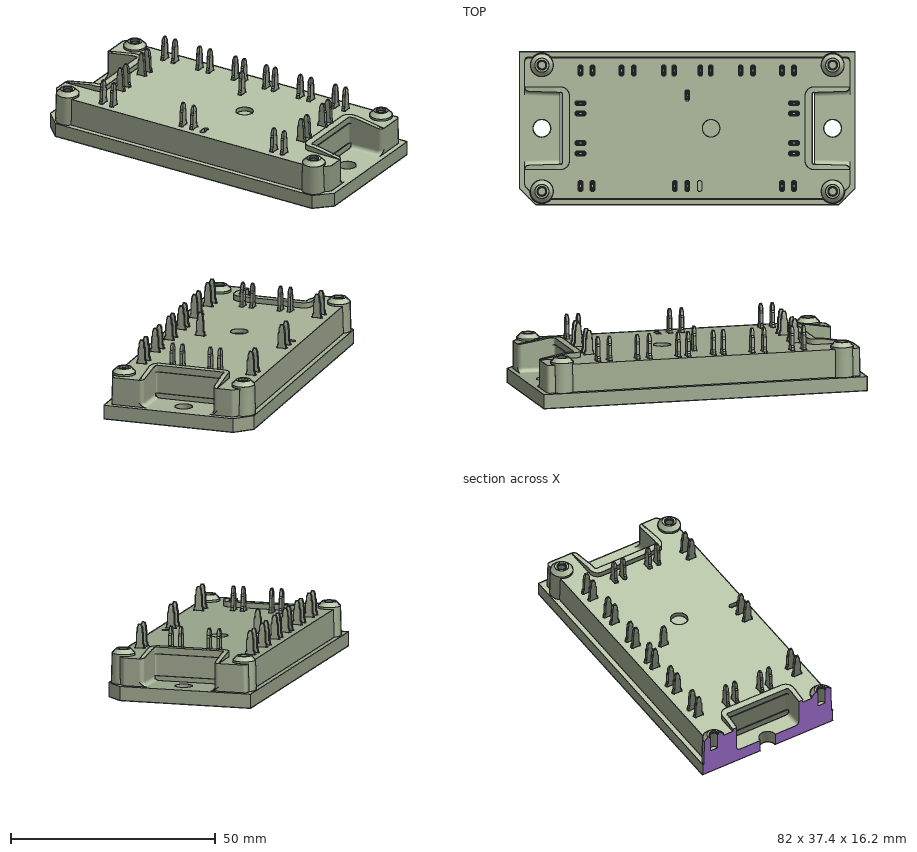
import cadquery as cq
import math

PLATE_LENGTH = 82.0
PLATE_WIDTH = 37.4
PLATE_HEIGHT = 3.5
PLATE_CORNER_CUT = 4.0

HOUSING_LENGTH = 79.4
HOUSING_WIDTH = 34.8
HOUSING_TOP = 10.4
HOUSING_CORNER_CUT = 3.3
HOUSING_CORNER_RADIUS = 0.8
HOUSING_DRAFT_ANGLE = 2.0

SCREW_HOLE_DIAMETER = 4.3
SCREW_HOLE_X = 35.5
RECESS_X = 5.8
RECESS_DEPTH = 1.1

NOTCH_MOUTH_X = HOUSING_LENGTH / 2
NOTCH_MOUTH_HALF_WIDTH = 9.0
NOTCH_END_X = 30.6
NOTCH_END_HALF_WIDTH = 8.8
NOTCH_MOUTH_RADIUS = 1.1
NOTCH_FLOOR_RADIUS = 1.1
SLIT_WIDTH = 0.5
SLIT_CORNER_RADIUS = 0.4
PANEL_DEPTH = 0.2
PANEL_BOTTOM = 4.6
PANEL_TOP = 10.0

RIM_TOP = 11.7
RIM_INNER_X = 28.8
RIM_HALF_WIDTH = 10.1
RIM_CORNER_RADIUS = 2.1
RIM_SLOPE_X = 32.1
RIM_BEND_RADIUS = 2.9

BOSS_X = SCREW_HOLE_X
BOSS_Y = 15.4
BOSS_RADIUS = 2.8
BOSS_SHOULDER = 10.9
BOSS_TOP = 12.0
BOSS_TOP_RADIUS = 1.7
BOSS_DRAFT_ANGLE = 1.5
BOSS_HOLE_DIAMETER = 2.4
BOSS_BORE_DIAMETER = 1.9
BOSS_HOLE_DEPTH = 0.5
BOSS_BORE_DEPTH = 4.9

PIN_TOP = 16.2
PIN_THICKNESS = 0.7
PIN_TIP_THICKNESS = 0.4
PIN_FOOT_WIDTH = 2.1
PIN_BLADE_WIDTH = 1.6
PIN_NECK_WIDTH = 1.2
PIN_TIP_WIDTH = 0.65
PIN_FOOT_TOP = 11.1
PIN_BLADE_BOTTOM = 11.5
PIN_BLADE_TOP = 14.0
PIN_NECK_BOTTOM = 14.5
PIN_NECK_TOP = 15.3

POCKET_LENGTH = 2.6
POCKET_WIDTH = 1.15
POCKET_CORNER_CUT = 0.3
POCKET_DEPTH = RECESS_DEPTH

PIN_ROW_Y = 14.1
REAR_ROW_X = (3.2, 5.7, 13.0, 16.1, 23.1, 26.1)
FRONT_ROW_X = (23.1, 26.1)
FRONT_CENTRE_X = (-3.0, 0.0)
EMPTY_POCKET_X = 3.0
SINGLE_PIN_Y = 8.0
SIDE_PIN_X = 26.1
SIDE_PIN_Y = (3.6, 6.15)


def both_ends(shape):
    """The shape together with its mirror image at the other end of the part."""
    return shape.union(shape.mirror("YZ"))


def corner_cut_outline(length, width, cut, z):
    """Rectangle whose two front corners are cut off at 45 degrees."""
    x = length / 2
    y = width / 2
    return cq.Workplane("XY").workplane(offset=z).polyline(
        [(x, y), (-x, y), (-x, cut - y), (cut - x, -y), (x - cut, -y), (x, cut - y)]
    ).close()


def symmetric_profile(plane, steps):
    """Closed outline through (width, height) steps, mirrored about the Z axis."""
    right = [(width / 2, z) for width, z in steps]
    left = [(-x, z) for x, z in reversed(right)]
    return cq.Workplane(plane).polyline(right + left).close()


def make_plate():
    outline = corner_cut_outline(PLATE_LENGTH, PLATE_WIDTH, PLATE_CORNER_CUT, 0)
    return outline.extrude(PLATE_HEIGHT)


def make_housing():
    """Block with upright ends, drafted long sides and two cut front corners."""
    height = HOUSING_TOP - PLATE_HEIGHT
    top_width = HOUSING_WIDTH - 2 * height * math.tan(math.radians(HOUSING_DRAFT_ANGLE))
    section = symmetric_profile("YZ", [(HOUSING_WIDTH, PLATE_HEIGHT), (top_width, HOUSING_TOP)])
    body = section.extrude(HOUSING_LENGTH / 2, both=True)
    outline = corner_cut_outline(HOUSING_LENGTH, HOUSING_WIDTH, HOUSING_CORNER_CUT, PLATE_HEIGHT)
    body = body.intersect(outline.extrude(height))
    upright_edges = body.edges("not(#Z or |X or |Y)")
    return upright_edges.fillet(HOUSING_CORNER_RADIUS)


def make_rim():
    """Raised block around the left notch, with one long slope towards the mouth."""
    profile = cq.Workplane("XZ").polyline(
        [
            (-RIM_INNER_X, PLATE_HEIGHT),
            (-RIM_INNER_X, RIM_TOP),
            (-RIM_SLOPE_X, RIM_TOP),
            (-NOTCH_MOUTH_X, HOUSING_TOP),
            (-NOTCH_MOUTH_X, PLATE_HEIGHT),
        ]
    ).close()
    rim = profile.extrude(RIM_HALF_WIDTH, both=True)
    rim = rim.edges("|Z and >X").fillet(RIM_CORNER_RADIUS)
    bend = cq.selectors.NearestToPointSelector((-RIM_SLOPE_X, 0, RIM_TOP))
    return rim.edges(bend).fillet(RIM_BEND_RADIUS)


def make_notch():
    """Space cleared above the plate: flared at the mouth, rounded along the floor."""
    height = RIM_TOP - PLATE_HEIGHT
    slit_x = NOTCH_END_X + SLIT_WIDTH
    straight_x = NOTCH_MOUTH_X - NOTCH_MOUTH_RADIUS
    flare_y = NOTCH_MOUTH_HALF_WIDTH + NOTCH_MOUTH_RADIUS
    mid = NOTCH_MOUTH_RADIUS * math.sqrt(0.5)
    arc_x = straight_x + mid
    arc_y = flare_y - mid
    outline = (
        cq.Workplane("XY").workplane(offset=PLATE_HEIGHT)
        .moveTo(-slit_x, NOTCH_END_HALF_WIDTH)
        .lineTo(-straight_x, NOTCH_MOUTH_HALF_WIDTH)
        .threePointArc((-arc_x, arc_y), (-NOTCH_MOUTH_X, flare_y))
        .lineTo(-NOTCH_MOUTH_X, -flare_y)
        .threePointArc((-arc_x, -arc_y), (-straight_x, -NOTCH_MOUTH_HALF_WIDTH))
        .lineTo(-slit_x, -NOTCH_END_HALF_WIDTH)
        .close()
    )
    notch = outline.extrude(height)
    return notch.faces("<Z").edges("not |Y").fillet(NOTCH_FLOOR_RADIUS)


def end_wall_cutter(depth, bottom, top):
    """Slab with rounded inner corners that reaches the given depth past the slit's outer side."""
    slab = cq.Workplane("XY").box(
        depth, 2 * NOTCH_END_HALF_WIDTH, top - bottom, centered=(False, True, False)
    )
    slab = slab.edges("|Z and >X").fillet(SLIT_CORNER_RADIUS)
    return slab.translate((-NOTCH_END_X - SLIT_WIDTH, 0, bottom))


def make_slit():
    """Narrow opening through the plate along the notch's end wall, with a shallow wall panel."""
    slit = end_wall_cutter(SLIT_WIDTH, 0, RIM_TOP)
    panel = end_wall_cutter(SLIT_WIDTH + PANEL_DEPTH, PANEL_BOTTOM, PANEL_TOP)
    return slit.union(panel)


def boss_locations():
    corners = [(x, y) for x in (-BOSS_X, BOSS_X) for y in (-BOSS_Y, BOSS_Y)]
    return [cq.Location(cq.Vector(x, y, 0)) for x, y in corners]


def make_boss():
    flare = (BOSS_SHOULDER - PLATE_HEIGHT) * math.tan(math.radians(BOSS_DRAFT_ANGLE))
    foot_radius = BOSS_RADIUS + flare
    profile = cq.Workplane("XZ").polyline(
        [
            (0, PLATE_HEIGHT),
            (foot_radius, PLATE_HEIGHT),
            (BOSS_RADIUS, BOSS_SHOULDER),
            (BOSS_TOP_RADIUS, BOSS_TOP),
            (0, BOSS_TOP),
        ]
    ).close()
    return profile.revolve(360, (0, 0, 0), (0, 1, 0))


def make_boss_hole():
    top = cq.Workplane("XY").workplane(offset=BOSS_TOP)
    wide = top.circle(BOSS_HOLE_DIAMETER / 2).extrude(-BOSS_HOLE_DEPTH)
    bore = top.circle(BOSS_BORE_DIAMETER / 2).extrude(-BOSS_BORE_DEPTH)
    return wide.union(bore)


def make_pin():
    """Blade standing at the origin, broad along Y, with a foot, a neck and a tapered tip."""
    bottom = HOUSING_TOP - POCKET_DEPTH
    broad = symmetric_profile(
        "YZ",
        [
            (PIN_FOOT_WIDTH, bottom),
            (PIN_FOOT_WIDTH, PIN_FOOT_TOP),
            (PIN_BLADE_WIDTH, PIN_BLADE_BOTTOM),
            (PIN_BLADE_WIDTH, PIN_BLADE_TOP),
            (PIN_NECK_WIDTH, PIN_NECK_BOTTOM),
            (PIN_NECK_WIDTH, PIN_NECK_TOP),
            (PIN_TIP_WIDTH, PIN_TOP),
        ],
    ).extrude(PIN_THICKNESS, both=True)
    thin = symmetric_profile(
        "XZ",
        [(PIN_THICKNESS, bottom), (PIN_THICKNESS, PIN_NECK_TOP), (PIN_TIP_THICKNESS, PIN_TOP)],
    ).extrude(PIN_FOOT_WIDTH, both=True)
    return broad.intersect(thin)


def make_pocket():
    pocket = (
        cq.Workplane("XY").workplane(offset=HOUSING_TOP)
        .rect(POCKET_WIDTH, POCKET_LENGTH)
        .extrude(-POCKET_DEPTH)
    )
    return pocket.edges("|Z").chamfer(POCKET_CORNER_CUT)


def pin_locations():
    """Places of all pins; those beside the notches are turned to be broad along X."""
    signs = (-1, 1)
    places = [(s * x, PIN_ROW_Y, 0) for s in signs for x in REAR_ROW_X]
    places += [(s * x, -PIN_ROW_Y, 0) for s in signs for x in FRONT_ROW_X]
    places += [(x, -PIN_ROW_Y, 0) for x in FRONT_CENTRE_X]
    places.append((0, SINGLE_PIN_Y, 0))
    places += [(s * SIDE_PIN_X, t * y, 90) for s in signs for t in signs for y in SIDE_PIN_Y]
    return [cq.Location(cq.Vector(x, y, 0), cq.Vector(0, 0, 1), turn) for x, y, turn in places]


def copies(shape, locations):
    """One copy of the shape at each location, grouped together."""
    moved = [shape.val().moved(location) for location in locations]
    return cq.Workplane(cq.Compound.makeCompound(moved))


upper = make_housing().union(both_ends(make_rim())).cut(both_ends(make_notch()))
result = make_plate().union(upper).cut(both_ends(make_slit()))

result = result.cut(
    cq.Workplane("XY").pushPoints([(-SCREW_HOLE_X, 0), (SCREW_HOLE_X, 0)])
    .circle(SCREW_HOLE_DIAMETER / 2).extrude(PLATE_HEIGHT)
)
result = result.cut(
    cq.Workplane("XY").workplane(offset=HOUSING_TOP).center(RECESS_X, 0)
    .circle(SCREW_HOLE_DIAMETER / 2).extrude(-RECESS_DEPTH)
)

result = result.union(copies(make_boss(), boss_locations()))
result = result.cut(copies(make_boss_hole(), boss_locations()))

empty_pocket = cq.Location(cq.Vector(EMPTY_POCKET_X, -PIN_ROW_Y, 0))
result = result.cut(copies(make_pocket(), pin_locations() + [empty_pocket]))
result = result.union(copies(make_pin(), pin_locations()))